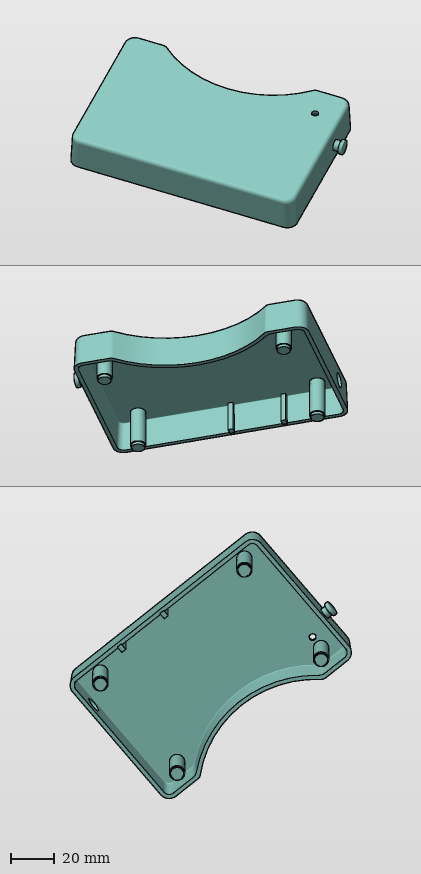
import cadquery as cq
import math

overall_length = 115.5
body_length = 111.1
body_width = 73.1
body_height = 16.5
draft_angle = 2.0
corner_radius = 5.0
top_edge_radius = 2.0
wall = 2.0
roof_middle_z = body_height - wall / 2
cavity_edge_radius = 0.3

bite_radius = 53.4
bite_bottom_y = 22.2
bite_corner_radius = 3.0
bite_center_y = bite_bottom_y + bite_radius

foot_x = 42.5
foot_y = 27.5
foot_diameter = 7.0
foot_tip_diameter = 6.0
foot_drop = 5.3
foot_tip_height = 1.5

rib_x_positions = (-25.1, 0)
rib_y = -33.5
rib_length = 2.3
rib_depth = 3.2
rib_drop = 0.2

side_hole_diameter = 6.9
side_hole_y = -19.2
side_hole_z = 7.5
top_hole_diameter = 3.1
top_hole_x = 42.7
top_hole_y = 21.1

knob_end_x = overall_length - body_length / 2
knob_y = 14.3
knob_z = 7.3
knob_neck_diameter = 5.2
knob_head_diameter = 7.0
knob_head_thickness = 2.1
knob_inner_edge_radius = 0.8
knob_outer_edge_radius = 0.2


def bite_half_width(inset):
    """Half the width of the bite where it meets the back side, both moved inwards by inset."""
    depth_to_center = bite_center_y - (body_width / 2 - inset)
    return math.sqrt((bite_radius + inset) ** 2 - depth_to_center**2)


def drafted_block(inset, edge_radius):
    """Solid block with the outline of the case, its sides and top moved inwards by inset."""
    half_length = body_length / 2 - inset
    half_width = body_width / 2 - inset
    bite_end_x = bite_half_width(inset)
    block = (
        cq.Workplane("XY")
        .moveTo(-half_length, -half_width)
        .lineTo(half_length, -half_width)
        .lineTo(half_length, half_width)
        .lineTo(bite_end_x, half_width)
        .threePointArc((0, bite_bottom_y - inset), (-bite_end_x, half_width))
        .lineTo(-half_length, half_width)
        .close()
        .extrude(body_height - inset, taper=draft_angle)
    )

    split_x = (half_length + bite_end_x) / 2
    bite_zone = cq.selectors.BoxSelector((-split_x, -body_width, 0), (split_x, body_width, body_height))
    corners = block.faces("<X or >X").edges("not(<Z or >Z)")
    block = corners.fillet(corner_radius - inset)
    bite_corners = block.edges("not(<Z or >Z)").edges(bite_zone)
    block = bite_corners.fillet(bite_corner_radius + inset)
    return block.faces(">Z").edges().fillet(edge_radius)


def post(x, y, diameter, bottom_z):
    """Upright cylinder from bottom_z up into the roof of the case."""
    return (
        cq.Workplane("XY", origin=(x, y, bottom_z))
        .circle(diameter / 2)
        .extrude(roof_middle_z - bottom_z)
    )


def rib(x):
    """Upright rectangular rib that reaches slightly below the case."""
    return (
        cq.Workplane("XY", origin=(x, rib_y, -rib_drop))
        .rect(rib_length, rib_depth)
        .extrude(roof_middle_z + rib_drop)
    )


def foot(x, y):
    """Post with a narrower tip that reaches below the case."""
    tip = post(x, y, foot_tip_diameter, -foot_drop)
    return tip.union(post(x, y, foot_diameter, foot_tip_height - foot_drop))


def knob():
    """Short neck with a rounded disc at its end, starting inside the right-hand wall."""
    start_x = body_length / 2 - wall
    head_x = knob_end_x - knob_head_thickness
    neck = (
        cq.Workplane("YZ", origin=(start_x, knob_y, knob_z))
        .circle(knob_neck_diameter / 2)
        .extrude(head_x - start_x)
    )
    head = (
        cq.Workplane("YZ", origin=(head_x, knob_y, knob_z))
        .circle(knob_head_diameter / 2)
        .extrude(knob_head_thickness)
        .faces("<X")
        .edges()
        .fillet(knob_inner_edge_radius)
        .faces(">X")
        .edges()
        .fillet(knob_outer_edge_radius)
    )
    return neck.union(head)


result = drafted_block(0, top_edge_radius).cut(drafted_block(wall, cavity_edge_radius))

for x in (-foot_x, foot_x):
    for y in (-foot_y, foot_y):
        result = result.union(foot(x, y))
for x in rib_x_positions:
    result = result.union(rib(x))

result = result.union(knob())

side_hole = (
    cq.Workplane("YZ", origin=(-body_length / 2, side_hole_y, side_hole_z))
    .circle(side_hole_diameter / 2)
    .extrude(2 * wall)
)
result = result.cut(side_hole)

top_hole = (
    cq.Workplane("XY", origin=(top_hole_x, top_hole_y, body_height))
    .circle(top_hole_diameter / 2)
    .extrude(-2 * wall)
)
result = result.cut(top_hole)